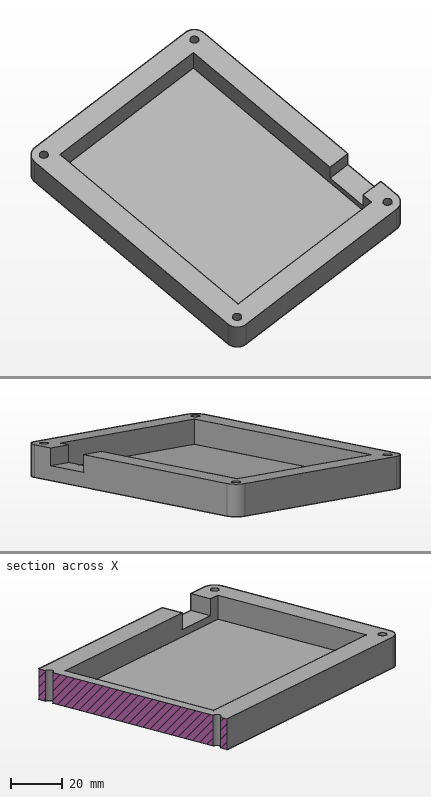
import cadquery as cq

length = 119.0
width = 91.0
height = 13.0
corner_radius = 5.0

hole_diameter = 3.5

pocket_length = 100.4
pocket_width = 71.8
floor_thickness = 3.0

notch_left = 26.9
notch_right = 45.5
notch_depth = 7.0

block = (
    cq.Workplane("XY")
    .box(length, width, height, centered=(True, True, False))
    .edges("|Z")
    .fillet(corner_radius)
)

pocket = (
    cq.Workplane("XY", origin=(0, 0, floor_thickness))
    .box(pocket_length, pocket_width, height, centered=(True, True, False))
)

notch = (
    cq.Workplane("XY", origin=(notch_left, 0, height - notch_depth))
    .box(notch_right - notch_left, width, height, centered=False)
)

holes = (
    cq.Workplane("XY")
    .rect(length - 2 * corner_radius, width - 2 * corner_radius, forConstruction=True)
    .vertices()
    .circle(hole_diameter / 2)
    .extrude(height)
)

result = block.cut(pocket).cut(notch).cut(holes)